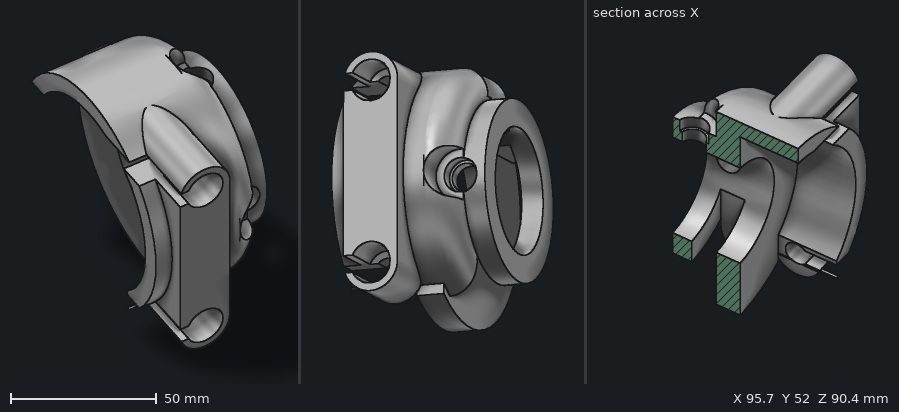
import cadquery as cq
import math


shell_depth = 24.0
flange_thickness = 10.0
drum_length = 10.0
collar_length = 8.0

flange_front = shell_depth
drum_front = flange_front + flange_thickness
collar_front = drum_front + drum_length
bore_end = collar_front + collar_length

bore_radius = 22.2
collar_radius = 32.0
cavity_radius = 36.7
wall_thickness = 7.0
shell_radius = cavity_radius + wall_thickness
flange_overhang = 3.0
flange_radius = shell_radius + flange_overhang
drum_fillet = 10.0

shell_opening_x = 24.8
shell_opening_z = 21.0
drum_opening = 19.0

lower_tube_setback = 0.25
lower_tube_start_x = shell_opening_x + lower_tube_setback
tube_end_x = 49.0
tube_z = 32.0
tube_y = 16.5
tube_radius = 10.0
tube_hole_radius = 4.6
tube_socket_radius = 7.25
slot_width = 6.0

screw_setback = 1.0
screw_y = collar_front - screw_setback
screw_hole_radius = 5.0
screw_recess_radius = 6.0
screw_recess_floor = 27.0
spotface_radius = 9.0
spotface_floor = collar_radius

clearance = 2 * flange_radius


def disc(radius, start, length):
    """Solid cylinder on the main axis, from Y = start toward +Y."""
    return cq.Workplane("XZ", origin=(0, start, 0)).circle(radius).extrude(-length)


def block(x_range, y_range, z_range):
    """Axis-aligned box given by its limits."""
    sizes = [high - low for low, high in (x_range, y_range, z_range)]
    corner = (x_range[0], y_range[0], z_range[0])
    return cq.Workplane("XY").box(*sizes, centered=False).translate(corner)


def rod_x(radius, start, end, y, z):
    """Solid cylinder parallel to X."""
    return cq.Workplane("YZ", origin=(start, y, z)).circle(radius).extrude(end - start)


def lower_left(x_limit, z_limit, start, end):
    """Block left of x_limit and below z_limit, between two Y positions."""
    return block((-clearance, x_limit), (start, end), (-clearance, z_limit))


def make_front():
    """Shell with both cable tubes and the web joining them, open at its lower left, still solid."""
    shell = disc(shell_radius, 0, shell_depth)
    shell = shell.cut(lower_left(shell_opening_x, shell_opening_z, 0, shell_depth))
    y_range = (tube_y - tube_radius, tube_y + tube_radius)
    web = block((lower_tube_start_x, tube_end_x), y_range, (-tube_z, tube_z))
    upper_tube = rod_x(tube_radius, 0, tube_end_x, tube_y, tube_z)
    lower_tube = rod_x(tube_radius, lower_tube_start_x, tube_end_x, tube_y, -tube_z)
    return shell.union(web).union(upper_tube).union(lower_tube)


def make_flange():
    """Plate that stands out beyond the shell on the lower-left side."""
    step_outer = (-math.sqrt(flange_radius**2 - drum_opening**2), drum_opening)
    step_inner = (-math.sqrt(shell_radius**2 - shell_opening_z**2), shell_opening_z)
    wide_sector = (
        cq.Workplane("XZ", origin=(0, flange_front, 0))
        .polyline([
            (shell_opening_x, -clearance),
            (shell_opening_x, shell_opening_z),
            step_inner,
            step_outer,
            (-clearance, drum_opening),
            (-clearance, -clearance),
        ])
        .close()
        .extrude(-flange_thickness)
    )
    return disc(flange_radius, flange_front, flange_thickness).intersect(wide_sector)


def make_drum():
    """Rounded rear drum reaching through the flange, cut away at its lower left behind the flange."""
    drum = disc(shell_radius, flange_front, flange_thickness + drum_length)
    drum = drum.faces(">Y").edges().fillet(drum_fillet)
    left = lower_left(0, drum_opening, drum_front, collar_front)
    lower = lower_left(drum_opening, 0, drum_front, collar_front)
    return drum.cut(left).cut(lower)


def tube_cut(z):
    """Stepped hole of one cable tube with its slot toward the open rim."""
    socket_start = math.sqrt(shell_radius**2 - (tube_z - slot_width / 2)**2)
    hole = rod_x(tube_hole_radius, 0, tube_end_x, tube_y, z)
    socket = rod_x(tube_socket_radius, socket_start, tube_end_x, tube_y, z)
    slot = block((0, tube_end_x), (0, tube_y), (z - slot_width / 2, z + slot_width / 2))
    return hole.union(socket).union(slot)


def rod_up(radius, bottom):
    """Upright cylinder on the screw axis, from Z = bottom to beyond the part."""
    length = clearance - bottom
    return cq.Workplane("XY", origin=(0, screw_y, bottom)).circle(radius).extrude(length)


def screw_cut():
    """Upward screw hole with its recess and the flat spotface on the drum."""
    hole = rod_up(screw_hole_radius, 0)
    recess = rod_up(screw_recess_radius, screw_recess_floor)
    spotface = rod_up(spotface_radius, spotface_floor)
    return hole.union(recess).union(spotface)


body = make_front().union(make_flange()).union(make_drum())
body = body.union(disc(collar_radius, collar_front, collar_length))
body = body.cut(disc(cavity_radius, 0, shell_depth))
body = body.cut(disc(bore_radius, 0, bore_end))

for side in (1, -1):
    body = body.cut(tube_cut(side * tube_z))

upward_screw = screw_cut()
sideways_screw = upward_screw.rotate((0, 0, 0), (0, 1, 0), 90)
result = body.cut(upward_screw).cut(sideways_screw)